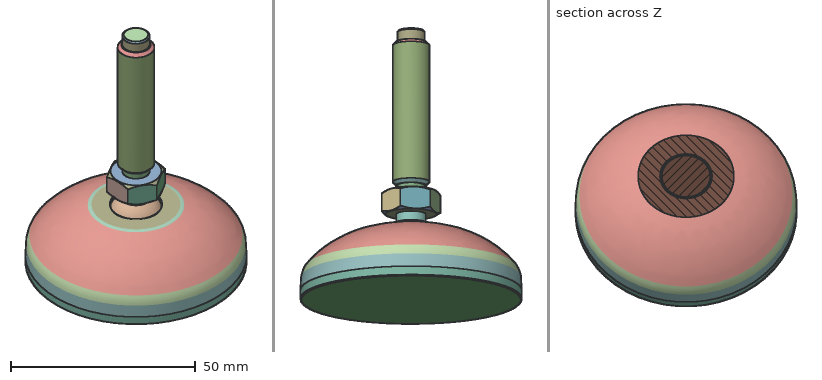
import cadquery as cq
import math

total_height = 74.7
dome_top = 19.05

base_radius = 29.99
pad_height = 2.6
pad_chamfer = 0.3

rim_top = 6.2
rim_top_radius = 29.8
shoulder_mid = (29.4, 7.7)
dome_start = (28.8, 8.9)
dome_mid = (22.25, 14.8)
dome_end = (13.1, 18.8)
crown_mid = (12.55, 19.0)
crown_radius = 12.0

ball_radius = 7.85
socket_radius = 8.0
ball_center = 14.65
mouth_radius = 7.1
mouth_chamfer = 0.4

lower_neck_radius = 4.0
upper_neck_radius = 3.7
thread_radius = 5.0
thread_end_radius = 4.0
thread_chamfer = thread_radius - thread_end_radius
thread_bottom = 31.75
thread_top = 71.55
tip_chamfer = 0.45

hex_across_corners = 16.2
hex_bottom = 23.75
hex_height = 6.2
hex_face_radius = 6.9
hex_chamfer_angle = 30.0


def make_pad():
    pad = cq.Workplane("XY").circle(base_radius).extrude(pad_height)
    return pad.faces("<Z").edges().chamfer(pad_chamfer)


def ball_socket():
    """Spherical cavity with a chamfered mouth in the top of the dome."""
    cavity = cq.Workplane("XY").sphere(socket_radius).translate((0, 0, ball_center))
    throat_z = dome_top - mouth_chamfer
    throat_radius = math.sqrt(socket_radius**2 - (throat_z - ball_center) ** 2)
    mouth = (
        cq.Workplane("XZ")
        .moveTo(0, throat_z)
        .lineTo(throat_radius, throat_z)
        .lineTo(mouth_radius, dome_top)
        .lineTo(0, dome_top)
        .close()
        .revolve(360, (0, 0), (0, 1))
    )
    return cavity.union(mouth)


def make_housing():
    dome = (
        cq.Workplane("XZ")
        .moveTo(0, pad_height)
        .lineTo(base_radius, pad_height)
        .lineTo(rim_top_radius, rim_top)
        .threePointArc(shoulder_mid, dome_start)
        .threePointArc(dome_mid, dome_end)
        .threePointArc(crown_mid, (crown_radius, dome_top))
        .lineTo(0, dome_top)
        .close()
        .revolve(360, (0, 0), (0, 1))
    )
    return dome.cut(ball_socket())


def make_hexagon():
    """Hexagon with corners on the Y axis and conical chamfers at both ends."""
    corner_radius = hex_across_corners / 2
    hexagon = (
        cq.Workplane("XY", origin=(0, 0, hex_bottom))
        .transformed(rotate=(0, 0, 90))
        .polygon(6, hex_across_corners)
        .extrude(hex_height)
    )
    chamfer_drop = (corner_radius - hex_face_radius) * math.tan(math.radians(hex_chamfer_angle))
    hex_top = hex_bottom + hex_height
    envelope = (
        cq.Workplane("XZ")
        .moveTo(0, hex_bottom)
        .lineTo(hex_face_radius, hex_bottom)
        .lineTo(corner_radius, hex_bottom + chamfer_drop)
        .lineTo(corner_radius, hex_top - chamfer_drop)
        .lineTo(hex_face_radius, hex_top)
        .lineTo(0, hex_top)
        .close()
        .revolve(360, (0, 0), (0, 1))
    )
    return hexagon.intersect(envelope)


def make_stud():
    """Ball, necks, threaded shank and tip, with the hexagon between the necks."""
    neck_bottom = ball_center + math.sqrt(ball_radius**2 - lower_neck_radius**2)
    hex_middle = hex_bottom + hex_height / 2
    shank = (
        cq.Workplane("XZ")
        .moveTo(0, ball_center - ball_radius)
        .threePointArc((ball_radius, ball_center), (lower_neck_radius, neck_bottom))
        .lineTo(lower_neck_radius, hex_middle)
        .lineTo(upper_neck_radius, hex_middle)
        .lineTo(upper_neck_radius, thread_bottom)
        .lineTo(thread_end_radius, thread_bottom)
        .lineTo(thread_radius, thread_bottom + thread_chamfer)
        .lineTo(thread_radius, thread_top - thread_chamfer)
        .lineTo(thread_end_radius, thread_top)
        .lineTo(upper_neck_radius, thread_top)
        .lineTo(upper_neck_radius, total_height - tip_chamfer)
        .lineTo(upper_neck_radius - tip_chamfer, total_height)
        .lineTo(0, total_height)
        .close()
        .revolve(360, (0, 0), (0, 1))
    )
    return shank.union(make_hexagon())


pad = make_pad()
housing = make_housing()
stud = make_stud()

result = cq.Compound.makeCompound([pad.val(), housing.val(), stud.val()])